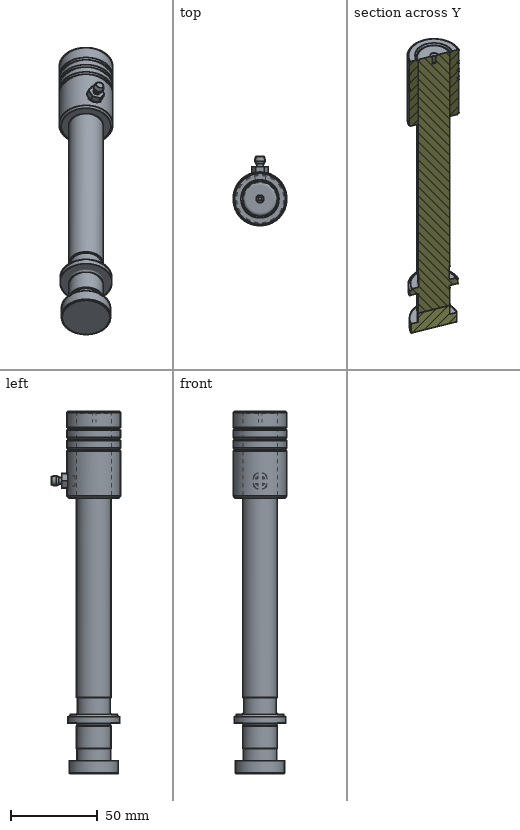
import cadquery as cq
import math

total_height = 209.0

foot_radius = 14.2
foot_disc_height = 7.5
foot_neck_radius = 9.8
foot_height = 14.3
foot_chamfer = 0.5

shaft_radius = 10.0
pillar_end_chamfer = 0.5
flange_radius = 15.0
flange_bottom = 29.2
flange_height = 5.0
flange_top = flange_bottom + flange_height
flange_cove = 1.4
flange_root_fillet = 1.0
relief_radius = 9.5
relief_step = shaft_radius - relief_radius
upper_relief_length = 10.0
lower_relief_length = 1.8
nose_fillet = 2.0
centre_hole_radius = 1.0
centre_hole_mouth_radius = 2.2
centre_hole_depth = 6.0

bush_radius = 15.5
bush_length = 50.0
bush_bottom = total_height - bush_length
bush_top_chamfer = 0.8
bush_bottom_chamfer = 1.2
bore_chamfer = 1.0
groove_count = 3
groove_depth = 1.0
groove_pitch = 6.0
first_groove_height = total_height - 10.0

nipple_height = total_height - 40.0
nipple_tip = 24.5
thread_radius = 3.0
thread_length = 4.0
hex_across_flats = 8.4
hex_circumscribed_diameter = hex_across_flats / math.cos(math.pi / 6)
hex_start = 15.0
hex_end = 18.6
stem_radius = 1.9
stem_end = 20.2
head_base_radius = 2.3
head_ridge_radius = 2.9
head_ridge = 21.8
head_crown_radius = 4.0
head_tip_radius = 2.2


def revolve_about_z(outline):
    return outline.close().revolve(360, (0, 0, 0), (0, 1, 0))


def make_foot():
    disc = cq.Workplane("XY").circle(foot_radius).extrude(foot_disc_height)
    disc = disc.faces("<Z").chamfer(foot_chamfer)
    neck = cq.Workplane("XY").circle(foot_neck_radius).extrude(foot_height)
    return disc.union(neck)


def make_pillar():
    lower_relief_bottom = flange_bottom - lower_relief_length
    upper_relief_top = flange_top + upper_relief_length
    mouth_depth = centre_hole_mouth_radius - centre_hole_radius
    outline = (
        cq.Workplane("XZ")
        .moveTo(0, foot_height)
        .lineTo(shaft_radius - pillar_end_chamfer, foot_height)
        .lineTo(shaft_radius, foot_height + pillar_end_chamfer)
        .lineTo(shaft_radius, lower_relief_bottom)
        .lineTo(relief_radius, lower_relief_bottom + relief_step)
        .lineTo(relief_radius, flange_bottom - flange_root_fillet)
        .radiusArc((relief_radius + flange_root_fillet, flange_bottom), flange_root_fillet)
        .lineTo(flange_radius, flange_bottom)
        .lineTo(flange_radius, flange_top - flange_cove)
        .radiusArc((flange_radius - flange_cove, flange_top), flange_cove)
        .lineTo(relief_radius + flange_root_fillet, flange_top)
        .radiusArc((relief_radius, flange_top + flange_root_fillet), flange_root_fillet)
        .lineTo(relief_radius, upper_relief_top - relief_step)
        .lineTo(shaft_radius, upper_relief_top)
        .lineTo(shaft_radius, total_height - nose_fillet)
        .radiusArc((shaft_radius - nose_fillet, total_height), -nose_fillet)
        .lineTo(centre_hole_mouth_radius, total_height)
        .lineTo(centre_hole_radius, total_height - mouth_depth)
        .lineTo(centre_hole_radius, total_height - centre_hole_depth)
        .lineTo(0, total_height - centre_hole_depth)
    )
    return revolve_about_z(outline)


def nipple_plane(reach):
    """Plane facing +Y at the given distance from the pillar axis, centred on the nipple."""
    return cq.Workplane(cq.Plane((0, reach, nipple_height), (1, 0, 0), (0, 1, 0)))


def make_thread():
    return nipple_plane(hex_start - thread_length).circle(thread_radius).extrude(thread_length)


def make_sleeve():
    outline = (
        cq.Workplane("XZ")
        .moveTo(shaft_radius, bush_bottom)
        .lineTo(bush_radius - bush_bottom_chamfer, bush_bottom)
        .lineTo(bush_radius, bush_bottom + bush_bottom_chamfer)
        .lineTo(bush_radius, total_height - bush_top_chamfer)
        .lineTo(bush_radius - bush_top_chamfer, total_height)
        .lineTo(shaft_radius + bore_chamfer, total_height)
        .lineTo(shaft_radius, total_height - bore_chamfer)
    )
    return revolve_about_z(outline)


def make_groove(height):
    """Ring with a right-angled V section that points at the axis."""
    outline = (
        cq.Workplane("XZ")
        .moveTo(bush_radius - groove_depth, height)
        .lineTo(bush_radius, height - groove_depth)
        .lineTo(bush_radius, height + groove_depth)
    )
    return revolve_about_z(outline)


def make_bush():
    bush = make_sleeve()
    for i in range(groove_count):
        groove_height = first_groove_height - i * groove_pitch
        bush = bush.cut(make_groove(groove_height))
    spot_face_depth = bush_radius - hex_start
    spot_face = nipple_plane(hex_start).circle(hex_circumscribed_diameter / 2).extrude(spot_face_depth)
    return bush.cut(spot_face).cut(make_thread())


def make_nipple():
    hexagon = nipple_plane(hex_start).polygon(6, hex_circumscribed_diameter).extrude(hex_end - hex_start)
    head = (
        cq.Workplane("XY")
        .moveTo(0, hex_end)
        .lineTo(stem_radius, hex_end)
        .lineTo(stem_radius, stem_end)
        .lineTo(head_base_radius, stem_end)
        .lineTo(head_ridge_radius, head_ridge)
        .radiusArc((head_tip_radius, nipple_tip), -head_crown_radius)
        .lineTo(0, nipple_tip)
        .close()
        .revolve(360, (0, 0, 0), (0, 1, 0))
        .translate((0, 0, nipple_height))
    )
    return make_thread().union(hexagon).union(head)


foot = make_foot()
pillar = make_pillar()
bush = make_bush()
nipple = make_nipple()

result = cq.Compound.makeCompound([foot.val(), pillar.val(), bush.val(), nipple.val()])